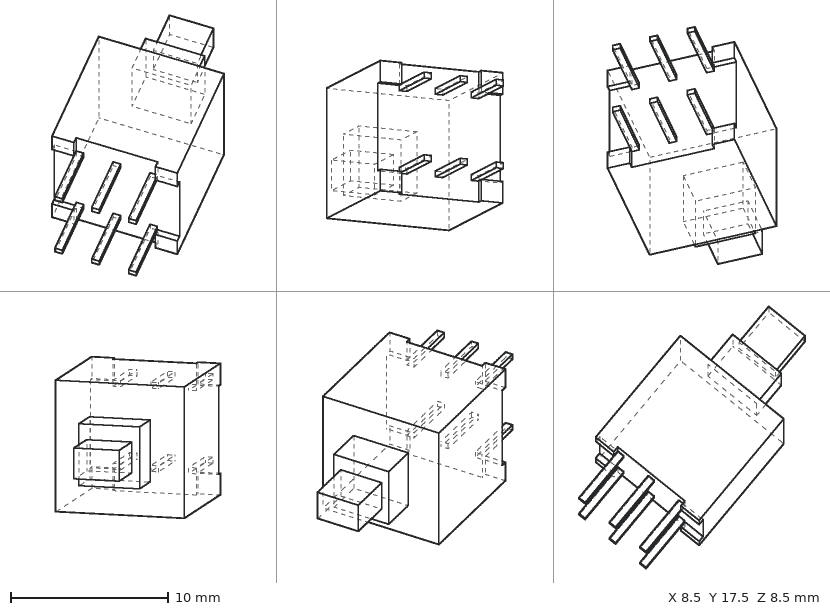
import cadquery as cq

body_size = 8.5
total_length = 17.5
collar_size = 4.0
collar_length = 2.5
plunger_width = 3.0
plunger_height = 2.0
plunger_length = 3.0

foot_width = 1.49
foot_height = 1.4
foot_depth = 0.4

pin_width = 0.5
pin_height = 0.38
pin_pitch = 2.5
pin_row_spacing = 5.39

collar_start = body_size
plunger_start = collar_start + collar_length
plunger_end = plunger_start + plunger_length
pin_tip = plunger_end - total_length


def bar(width, height, y_start, y_end, x=0, z=0):
    """Rectangular bar along Y, centred on (x, z)."""
    length = y_end - y_start
    return cq.Workplane("XY").box(width, length, height).translate((x, y_start + length / 2, z))


result = bar(body_size, body_size, foot_depth, body_size)
result = result.union(bar(collar_size, collar_size, collar_start, plunger_start))
result = result.union(bar(plunger_width, plunger_height, plunger_start, plunger_end))

foot_x = (body_size - foot_width) / 2
foot_z = (body_size - foot_height) / 2
for side_x in (-1, 1):
    for side_z in (-1, 1):
        foot = bar(foot_width, foot_height, 0, foot_depth, side_x * foot_x, side_z * foot_z)
        result = result.union(foot)

for column in (-1, 0, 1):
    for row in (-1, 1):
        pin = bar(pin_width, pin_height, pin_tip, foot_depth, column * pin_pitch, row * pin_row_spacing / 2)
        result = result.union(pin)